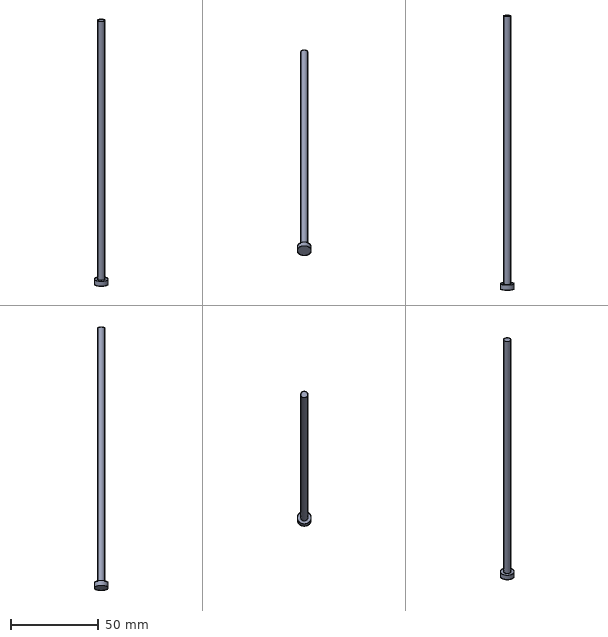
import cadquery as cq

total_length = 160.0
head_diameter = 8.0
head_height = 3.0
shank_diameter = 4.2

head = cq.Workplane("XY").circle(head_diameter / 2).extrude(head_height)
shank = cq.Workplane("XY").circle(shank_diameter / 2).extrude(total_length)

result = head.union(shank)